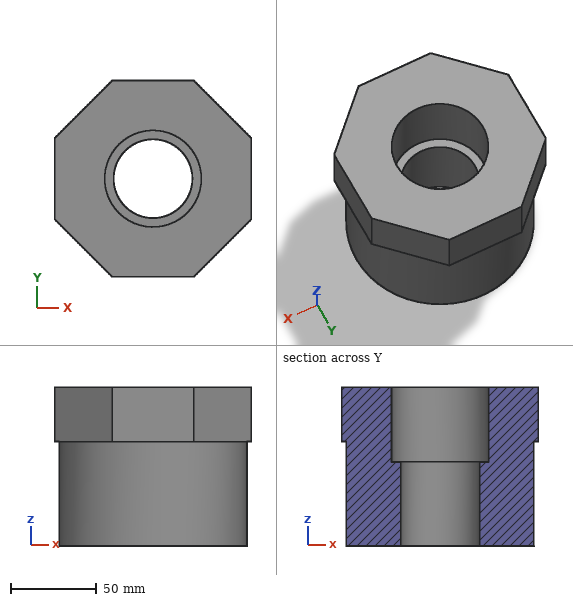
import cadquery as cq

across_flats = 115.0
total_height = 93.0
head_height = 31.9
spigot_height = total_height - head_height
spigot_diameter = 110.0

socket_diameter = 56.6
socket_depth = 43.7
bore_diameter = 46.0

spigot = cq.Workplane("XY").circle(spigot_diameter / 2).extrude(spigot_height)

head_square = (
    cq.Workplane("XY")
    .workplane(offset=spigot_height)
    .rect(across_flats, across_flats)
    .extrude(head_height)
)
turned_square = head_square.rotate((0, 0, 0), (0, 0, 1), 45)
head = head_square.intersect(turned_square)

socket = (
    cq.Workplane("XY")
    .workplane(offset=total_height - socket_depth)
    .circle(socket_diameter / 2)
    .extrude(socket_depth)
)
bore = cq.Workplane("XY").circle(bore_diameter / 2).extrude(total_height)

result = spigot.union(head).cut(socket).cut(bore)